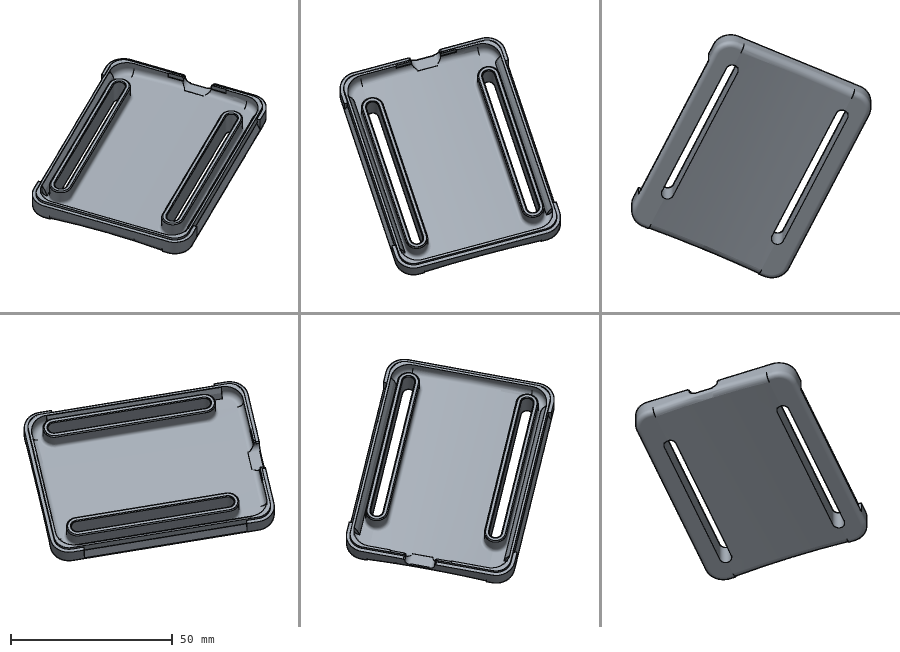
import cadquery as cq
import math

WIDTH = 53.0
LENGTH = 70.4
HEIGHT = 7.95
LEDGE_Z = 5.85
LIP_Z = 6.55
CORNER_RADIUS = 5.85
BOTTOM_ROUND = 1.55
ARCH_END_ROUND = 2.2
LIP_TOP_INSET = 1.2
LIP_DRAFT = 8.0

WALL = 2.0
CAVITY_WIDTH = WIDTH - 2 * WALL
CAVITY_LENGTH = LENGTH - 2 * WALL
CAVITY_CORNER = 5.7
CAVITY_ROUND = 1.75

FLOOR_Z = 2.45
ARCH_RISE = 0.85
ARCH_HALF_WIDTH = CAVITY_WIDTH / 2 - CAVITY_CORNER

RECESS_HALF_LENGTH = 25.6
SLOPE_DEPTH = 1.1
SLOPE_TOP_Z = 4.0
UNDERCUT_TOP_Z = 4.5
RAIL_TOP_Z = 6.25
RAIL_SHOULDER_Z = 4.5
RAIL_SHOULDER_WIDTH = 1.05
RAIL_HALF_LENGTH = CAVITY_LENGTH / 2 - CAVITY_CORNER

RING_X = 18.7
RING_Y = -2.6
RING_LENGTH = 54.2
RING_RADIUS = 3.45
SLOT_RADIUS = 1.9
RING_OUTER_CHAMFER = 0.35
RING_INNER_CHAMFER = 0.3
RING_FOOT_ROUND = 1.0

NOTCH_X = 2.25
NOTCH_WIDTH = 9.3
NOTCH_SINK = 0.1
NOTCH_REACH = 0.2
NOTCH_Z = FLOOR_Z + ARCH_RISE - NOTCH_SINK
NOTCH_ROUND = 1.7
NOTCH_FLARE = 0.5
NOTCH_DEPTH = WALL + CAVITY_ROUND + NOTCH_REACH
NOTCH_EDGE_CHAMFER = 0.3
RELIEF_WIDTH = 19.35
RELIEF_DEPTH = 0.2

OVERLAP = 0.7


def rounded_block(width, length, radius, bottom, top):
    block = cq.Workplane("XY").workplane(offset=bottom).rect(width, length).extrude(top - bottom)
    return block.edges("|Z").fillet(radius)


def along_y(profile, y_start, y_end):
    """Extrude a closed XZ profile from y_start to y_end."""
    return profile.extrude(y_start - y_end).translate((0, y_start, 0))


def both_sides(solid):
    return solid.union(solid.mirror("YZ"))


def above_arch(edge_z, top):
    """Oversize block with an underside at edge_z that arches up in the middle."""
    half_width = WIDTH / 2 + OVERLAP
    profile = (
        cq.Workplane("XZ")
        .moveTo(-half_width, edge_z)
        .lineTo(-ARCH_HALF_WIDTH, edge_z)
        .threePointArc((0, edge_z + ARCH_RISE), (ARCH_HALF_WIDTH, edge_z))
        .lineTo(half_width, edge_z)
        .lineTo(half_width, top)
        .lineTo(-half_width, top)
        .close()
    )
    return along_y(profile, -LENGTH, LENGTH)


def arched_pan(width, length, corner, side_round, arch_round, bottom, top):
    """Rounded block: flat-bottomed sides joined by a middle strip with an arched bottom."""
    sides = rounded_block(width, length, corner, bottom, top).faces("<Z").edges().fillet(side_round)
    strip = cq.Workplane("XY").box(2 * ARCH_HALF_WIDTH, length, 2 * top)
    middle = strip.intersect(above_arch(bottom, top)).edges("%CIRCLE").fillet(arch_round)
    return sides.cut(strip).union(middle)


def lip_inset(z):
    """Distance from the outer side to the drafted lip face at height z."""
    return LIP_TOP_INSET - (LIP_Z - z) * math.tan(math.radians(LIP_DRAFT))


def outer_body():
    base = arched_pan(WIDTH, LENGTH, CORNER_RADIUS, BOTTOM_ROUND, ARCH_END_ROUND, 0, LEDGE_Z)
    bottom_inset = lip_inset(LEDGE_Z)
    lip = (
        cq.Workplane("XY")
        .workplane(offset=LEDGE_Z)
        .sketch()
        .rect(WIDTH - 2 * bottom_inset, LENGTH - 2 * bottom_inset)
        .vertices()
        .fillet(CORNER_RADIUS - bottom_inset)
        .finalize()
        .extrude(LIP_Z - LEDGE_Z, taper=LIP_DRAFT)
    )
    return base.union(lip)


def side_recesses():
    outer = WIDTH / 2
    profile = (
        cq.Workplane("XZ")
        .moveTo(outer, BOTTOM_ROUND)
        .lineTo(outer - SLOPE_DEPTH, SLOPE_TOP_Z)
        .lineTo(outer - lip_inset(UNDERCUT_TOP_Z), UNDERCUT_TOP_Z)
        .lineTo(outer - lip_inset(LEDGE_Z), LEDGE_Z)
        .lineTo(outer + OVERLAP, LEDGE_Z)
        .lineTo(outer + OVERLAP, BOTTOM_ROUND)
        .close()
    )
    return both_sides(along_y(profile, -RECESS_HALF_LENGTH, RECESS_HALF_LENGTH))


def side_rails():
    wall_x = CAVITY_WIDTH / 2
    foot_x = wall_x - CAVITY_ROUND
    profile = (
        cq.Workplane("XZ")
        .moveTo(wall_x, RAIL_TOP_Z)
        .lineTo(wall_x - RAIL_SHOULDER_WIDTH, RAIL_SHOULDER_Z)
        .lineTo(foot_x, FLOOR_Z)
        .lineTo(foot_x, FLOOR_Z - OVERLAP)
        .lineTo(wall_x + OVERLAP, FLOOR_Z - OVERLAP)
        .lineTo(wall_x + OVERLAP, RAIL_TOP_Z)
        .close()
    )
    return both_sides(along_y(profile, -RAIL_HALF_LENGTH, RAIL_HALF_LENGTH))


def slot_prism(radius, bottom, top, taper=0):
    length = RING_LENGTH - 2 * (RING_RADIUS - radius)
    return (
        cq.Workplane("XY")
        .workplane(offset=bottom)
        .center(RING_X, RING_Y)
        .slot2D(length, 2 * radius, 90)
        .extrude(top - bottom, taper=taper)
    )


def ring_foot():
    """Floor slab under a ring stub, with a cove where the stub rises from the arched floor."""
    slab = cq.Workplane("XY").rect(WIDTH, LENGTH).extrude(HEIGHT).cut(above_arch(FLOOR_Z, HEIGHT))
    stub = slab.union(slot_prism(RING_RADIUS, 0, HEIGHT))
    reach = RING_RADIUS + RING_FOOT_ROUND

    def at_foot(edge):
        box = edge.BoundingBox()
        beside_ring = box.xmin > RING_X - reach and box.xmax < RING_X + reach
        along_ring = max(abs(box.ymin - RING_Y), abs(box.ymax - RING_Y)) < RING_LENGTH / 2 + RING_FOOT_ROUND
        on_floor = box.zmin > FLOOR_Z / 2 and box.zmax < FLOOR_Z + ARCH_RISE
        return beside_ring and along_ring and on_floor

    foot = [edge for edge in stub.edges().vals() if at_foot(edge)]
    return stub.newObject(foot).fillet(RING_FOOT_ROUND)


def slot_ring():
    return slot_prism(RING_RADIUS, FLOOR_Z, HEIGHT).faces(">Z").edges().chamfer(RING_OUTER_CHAMFER)


def slot_opening():
    through = slot_prism(SLOT_RADIUS, -OVERLAP, HEIGHT)
    countersink = slot_prism(SLOT_RADIUS, HEIGHT - RING_INNER_CHAMFER, HEIGHT, taper=-45)
    return through.union(countersink)


def cavity():
    return arched_pan(
        CAVITY_WIDTH, CAVITY_LENGTH, CAVITY_CORNER, CAVITY_ROUND, CAVITY_ROUND, FLOOR_Z, HEIGHT
    )


def notch_cut(rim_z, y_start, y_end):
    half = NOTCH_WIDTH / 2
    flat = half - NOTCH_ROUND
    profile = (
        cq.Workplane("XZ")
        .moveTo(-flat, NOTCH_Z)
        .lineTo(flat, NOTCH_Z)
        .tangentArcPoint((half, NOTCH_Z + NOTCH_ROUND), relative=False)
        .lineTo(half, rim_z - NOTCH_FLARE)
        .lineTo(half + NOTCH_FLARE, rim_z)
        .lineTo(half + NOTCH_FLARE, HEIGHT)
        .lineTo(-half - NOTCH_FLARE, HEIGHT)
        .lineTo(-half - NOTCH_FLARE, rim_z)
        .lineTo(-half, rim_z - NOTCH_FLARE)
        .lineTo(-half, NOTCH_Z + NOTCH_ROUND)
        .tangentArcPoint((-flat, NOTCH_Z), relative=False)
        .close()
    )
    return along_y(profile, y_start, y_end).translate((NOTCH_X, 0, 0))


def notch():
    back = LENGTH / 2
    lip_y = back - lip_inset(LEDGE_Z)
    lip_cut = notch_cut(LIP_Z, back - NOTCH_DEPTH, lip_y)
    ledge_cut = notch_cut(LEDGE_Z, lip_y, back + OVERLAP)
    sill_edge = (
        cq.Workplane("YZ")
        .moveTo(back + OVERLAP, NOTCH_Z)
        .lineTo(back - NOTCH_EDGE_CHAMFER, NOTCH_Z)
        .lineTo(back, NOTCH_Z - NOTCH_EDGE_CHAMFER)
        .lineTo(back + OVERLAP, NOTCH_Z - NOTCH_EDGE_CHAMFER)
        .close()
        .extrude(NOTCH_WIDTH / 2 - NOTCH_ROUND, both=True)
        .translate((NOTCH_X, 0, 0))
    )
    return lip_cut.union(ledge_cut).union(sill_edge)


def notch_relief():
    """Shallow pocket in the inner face of the back wall, either side of the notch."""
    bottom = NOTCH_Z + CAVITY_ROUND
    return cq.Workplane("XY").box(
        RELIEF_WIDTH, WALL, HEIGHT - bottom, centered=(True, False, False)
    ).translate((NOTCH_X, LENGTH / 2 - 2 * WALL + RELIEF_DEPTH, bottom))


hollow = cavity().cut(side_rails()).cut(both_sides(ring_foot()))
tray = outer_body().cut(side_recesses()).cut(hollow)
tray = tray.cut(notch_relief()).cut(notch())
tray = tray.union(both_sides(slot_ring()))
result = tray.cut(both_sides(slot_opening()))